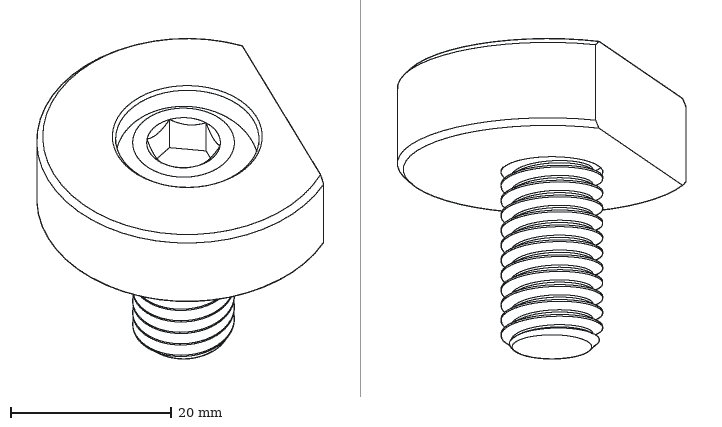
import cadquery as cq
import math

washer_radius = 18.8
washer_height = 11.4
washer_chamfer = 0.75
flat_y = 12.7
bore_radius = 8.95
bore_chamfer = 0.4

overall_height = 34.3
screw_x = -1.25
face_radius = 6.35
face_drop = 2.1
head_height = 6.4
dome_base_radius = 11.1
dome_middle_radius = 9.25
dome_middle_drop = 2.55
face_z = washer_height - face_drop
seat_z = face_z - head_height
tip_z = washer_height - overall_height

hex_across_flats = 7.97
hex_across_corners = hex_across_flats / math.cos(math.radians(30))
socket_depth = 4.77
lead_in_angle = 45.0

thread_radius = 6.35
thread_pitch = 1.95
thread_depth = 1.25
root_radius = thread_radius - thread_depth
crest_width = 0.23
ridge_overlap = 0.08
flank_slope = math.tan(math.radians(30))
envelope_clearance = 0.75
tip_chamfer = 1.4


def screw_plane(z):
    """Horizontal workplane centred on the screw axis."""
    return cq.Workplane("XY", origin=(screw_x, 0, z))


def make_washer():
    disc = cq.Workplane("XY").circle(washer_radius).extrude(washer_height)
    disc = disc.faces("<Z or >Z").chamfer(washer_chamfer)
    beyond_flat = (
        cq.Workplane("XY")
        .box(2 * washer_radius, washer_radius, washer_height, centered=(True, False, False))
        .translate((0, flat_y, 0))
    )
    bore = cq.Workplane("XY").workplane(offset=seat_z).circle(bore_radius).extrude(washer_height - seat_z)
    bore_lead_in = cq.Workplane(
        cq.Solid.makeCone(
            bore_radius,
            bore_radius + bore_chamfer,
            bore_chamfer,
            pnt=cq.Vector(0, 0, washer_height - bore_chamfer),
        )
    )
    shank_hole = screw_plane(0).circle(thread_radius).extrude(seat_z)
    return disc.cut(beyond_flat).cut(bore).cut(bore_lead_in).cut(shank_hole)


def make_socket():
    """Hexagonal recess, corners along X, with a cone reaching the corners at the face."""
    hexagon = screw_plane(face_z).polygon(6, hex_across_corners).extrude(-socket_depth)
    cone_depth = hex_across_corners / 2 * math.tan(math.radians(lead_in_angle))
    cone_tip = cq.Vector(screw_x, 0, face_z - cone_depth)
    cone = cq.Solid.makeCone(0, hex_across_corners / 2, cone_depth, pnt=cone_tip)
    return hexagon.union(cq.Workplane(cone))


def make_head():
    """Dome about the screw axis, trimmed to a cylinder about the washer axis."""
    dome = (
        cq.Workplane("XZ", origin=(screw_x, 0, 0))
        .moveTo(0, seat_z)
        .lineTo(dome_base_radius, seat_z)
        .threePointArc((dome_middle_radius, face_z - dome_middle_drop), (face_radius, face_z))
        .lineTo(0, face_z)
        .close()
        .revolve(360, (0, 0, 0), (0, 1, 0))
    )
    trim = cq.Workplane("XY").workplane(offset=seat_z).circle(bore_radius).extrude(head_height)
    return dome.intersect(trim).cut(make_socket())


def make_thread_ridge():
    """Helical ridge with a flat crest, starting one pitch below the screw tip."""
    ridge_start = tip_z - thread_pitch
    ridge_turns = math.ceil((seat_z - tip_z) / thread_pitch) + 1
    helix = cq.Wire.makeHelix(
        thread_pitch, ridge_turns * thread_pitch, thread_radius, center=cq.Vector(screw_x, 0, ridge_start)
    )
    foot_radius = root_radius - ridge_overlap
    half_crest = crest_width / 2
    half_foot = half_crest + (thread_radius - foot_radius) * flank_slope
    return (
        cq.Workplane("XZ", origin=(screw_x, 0, ridge_start))
        .moveTo(foot_radius, -half_foot)
        .lineTo(thread_radius, -half_crest)
        .lineTo(thread_radius, half_crest)
        .lineTo(foot_radius, half_foot)
        .close()
        .sweep(cq.Workplane(helix), isFrenet=True)
    )


def make_shank_envelope():
    """Space the shank may fill: clear of the crests, coned at the tip, ending at the head."""
    envelope_radius = thread_radius + envelope_clearance
    shank_length = seat_z - tip_z
    envelope = screw_plane(tip_z).circle(envelope_radius).extrude(shank_length)
    return envelope.faces("<Z").chamfer(tip_chamfer + envelope_clearance)


def make_threaded_shank():
    overrun = 2 * thread_pitch
    core_length = seat_z - tip_z + 2 * overrun
    core = screw_plane(tip_z - overrun).circle(root_radius).extrude(core_length)
    return core.union(make_thread_ridge()).intersect(make_shank_envelope())


def make_screw():
    return make_head().union(make_threaded_shank())


washer = make_washer()
screw = make_screw()
result = cq.Compound.makeCompound([washer.solids().val(), screw.solids().val()])